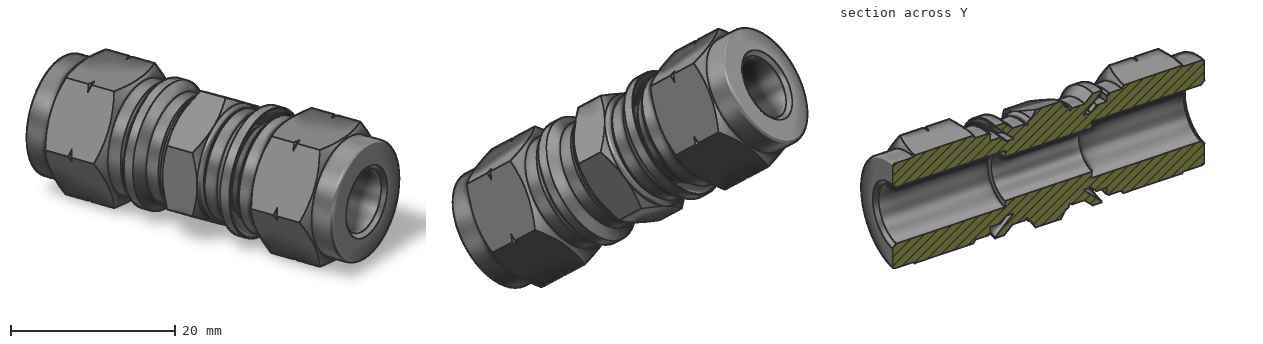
import cadquery as cq
import math

LENGTH = 44.4
MIDDLE = LENGTH / 2
CORNER_CLEARANCE = 0.45
CONE_SLOPE = math.tan(math.radians(30))

NUT_COLLAR_RADIUS = 15.5 / 2
NUT_COLLAR_ROUND = 0.45
NUT_FLATS = 15.9
NUT_HEX_START = 3.0
NUT_SKIRT_RADIUS = 15.0 / 2
NUT_SKIRT_START = 11.8
MIDDLE_OF_NUT = (NUT_HEX_START + NUT_SKIRT_START) / 2
NUT_END = 14.0
NUT_END_TAPER_LENGTH = 0.35
NUT_END_TAPER_DROP = 0.25

NOTCH_CENTER = 7.35
NOTCH_WIDTH = 0.45
NOTCH_DEPTH = 0.45

NECK_RADIUS = 12.7 / 2
NECK_END = 15.35
RELIEF_START = 16.2
RELIEF_RADIUS = 11.0 / 2
RECESS_MOUTH_RADIUS = 8.1
FLANGE_RADIUS = 16.5 / 2
FLANGE_START = 14.6
FLANGE_RIM_END = 15.9
SHANK_RADIUS = 14.2 / 2
SHANK_START = 17.1
SHANK_TAPER_LENGTH = 0.35
SHANK_TAPER_DROP = 0.25
SHOULDER_START = 19.2
SHOULDER_ROUND = 0.55
BODY_HEX_START = SHOULDER_START + SHOULDER_ROUND
BODY_FLATS = 15.0

BORE_DIAMETER = 6.4
TUBE_SOCKET_RADIUS = 8.2 / 2
TUBE_SOCKET_DEPTH = 16.0
MOUTH_CHAMFER = 0.55


def turned(points):
    """Revolve a closed (x, radius) outline about the X axis."""
    return cq.Workplane("XY").polyline(points).close().revolve(360, (0, 0, 0), (1, 0, 0))


def cylinder(radius, start, end):
    """Cylinder along X between two stations."""
    return cq.Workplane("YZ").workplane(offset=start).circle(radius).extrude(end - start)


def corner_radius(flats):
    """Radius from the axis to the corners of a hexagon of the given width across flats."""
    return flats / 2 / math.cos(math.pi / 6)


def coned_hexagon(flats, start, start_radius, end, end_radius, corner_turn):
    """Hexagonal prism along X whose corners are turned down by a 30 degree cone at each end."""
    across_corners = 2 * corner_radius(flats)
    prism = cq.Workplane("YZ").workplane(offset=start).polygon(6, across_corners).extrude(end - start)
    prism = prism.rotate((0, 0, 0), (1, 0, 0), corner_turn)
    reach = corner_radius(flats) + CORNER_CLEARANCE
    envelope = turned([
        (start, 0),
        (start, start_radius),
        (start + (reach - start_radius) * CONE_SLOPE, reach),
        (end - (reach - end_radius) * CONE_SLOPE, reach),
        (end, end_radius),
        (end, 0),
    ])
    return prism.intersect(envelope)


def make_notch_cutter():
    """Ring with a V-shaped inner edge that reaches just below the nut corners."""
    corner = corner_radius(NUT_FLATS)
    left = NOTCH_CENTER - NOTCH_WIDTH / 2
    right = NOTCH_CENTER + NOTCH_WIDTH / 2
    return turned([
        (NOTCH_CENTER, corner - NOTCH_DEPTH),
        (right, corner),
        (right, corner + CORNER_CLEARANCE),
        (left, corner + CORNER_CLEARANCE),
        (left, corner),
    ])


def make_nut():
    """Left nut: rounded collar, notched hexagon with corners on +Y and -Y, and tapered skirt."""
    hexagon = coned_hexagon(
        NUT_FLATS, NUT_HEX_START, NUT_COLLAR_RADIUS, NUT_SKIRT_START, NUT_SKIRT_RADIUS, 0
    ).cut(make_notch_cutter())
    collar = cylinder(NUT_COLLAR_RADIUS, 0, MIDDLE_OF_NUT).faces("<X").edges().fillet(NUT_COLLAR_ROUND)
    skirt = turned([
        (MIDDLE_OF_NUT, 0),
        (MIDDLE_OF_NUT, NUT_SKIRT_RADIUS),
        (NUT_END - NUT_END_TAPER_LENGTH, NUT_SKIRT_RADIUS),
        (NUT_END, NUT_SKIRT_RADIUS - NUT_END_TAPER_DROP),
        (NUT_END, 0),
    ])
    return collar.union(skirt).union(hexagon)


def make_half_body():
    """Left half of the body, up to the central hexagon."""
    shank_end_radius = SHANK_RADIUS - SHANK_TAPER_DROP
    recess_drop = RECESS_MOUTH_RADIUS - RELIEF_RADIUS
    profile = turned([
        (MIDDLE_OF_NUT, 0),
        (MIDDLE_OF_NUT, NECK_RADIUS),
        (NECK_END, NECK_RADIUS),
        (RELIEF_START, RELIEF_RADIUS),
        (FLANGE_START + recess_drop, RELIEF_RADIUS),
        (FLANGE_START, RECESS_MOUTH_RADIUS),
        (FLANGE_START, FLANGE_RADIUS),
        (FLANGE_RIM_END, FLANGE_RADIUS),
        (SHANK_START, SHANK_RADIUS),
        (SHOULDER_START - SHANK_TAPER_LENGTH, SHANK_RADIUS),
        (SHOULDER_START, shank_end_radius),
        (MIDDLE, shank_end_radius),
        (MIDDLE, 0),
    ])
    shoulder = cylinder(BODY_FLATS / 2, SHOULDER_START, MIDDLE).faces("<X").edges().fillet(SHOULDER_ROUND)
    return profile.union(shoulder)


def make_tube_socket():
    """Counterbore for the tube with a 45 degree countersunk mouth."""
    return turned([
        (0, 0),
        (0, TUBE_SOCKET_RADIUS + MOUTH_CHAMFER),
        (MOUTH_CHAMFER, TUBE_SOCKET_RADIUS),
        (TUBE_SOCKET_DEPTH, TUBE_SOCKET_RADIUS),
        (TUBE_SOCKET_DEPTH, 0),
    ])


left_half = make_half_body().union(make_nut()).cut(make_tube_socket())
right_half = left_half.mirror("YZ", (MIDDLE, 0, 0))

center_hexagon = coned_hexagon(
    BODY_FLATS, BODY_HEX_START, BODY_FLATS / 2, LENGTH - BODY_HEX_START, BODY_FLATS / 2, 90
)
bore = cylinder(BORE_DIAMETER / 2, 0, LENGTH)

result = left_half.union(right_half).union(center_hexagon).cut(bore)